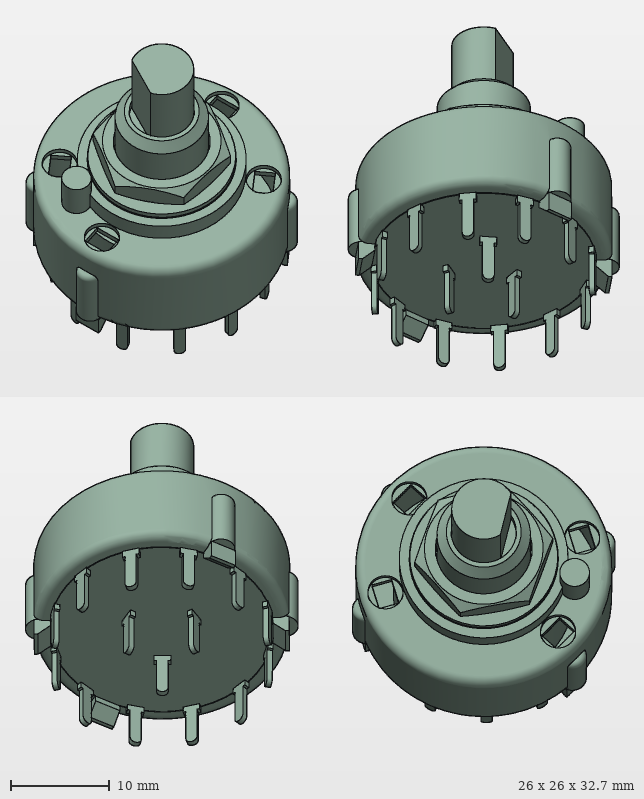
import cadquery as cq
import math

pin_step_z = 4.65
clip_bottom_z = 3.5
clip_step_z = 4.7
clip_top_z = 5.7
seal_bottom_z = 5.4
body_bottom_z = 5.5
rib_top_z = 12.7
body_top_z = 15.7
flange_top_z = 17.7
nut_bottom_z = 18.35
locator_top_z = 19.65
nut_top_z = 20.75
bushing_top_z = 25.7
shaft_top_z = 32.7

body_diameter = 26.0
body_fillet = 0.98
seal_diameter = 22.75
flange_diameter = 17.15

wall_thickness = 0.98
cover_thickness = 1.1
core_diameter = 18.32
core_gap = 0.98
hub_diameter = 10.3

washer_diameter = 15.0
washer_lip_diameter = 15.15
washer_lip_height = 0.1

nut_corner_diameter = 14.25
nut_face_diameter = 12.05
nut_chamfer_angle = 30.0
nut_turn = -6.0
nut_bore_diameter = 9.8

bushing_diameter = 9.5
bushing_chamfer = 0.95
shaft_diameter = 6.5
shaft_flat_offset = 2.3
shaft_bore_diameter = 6.6
shaft_bore_depth = 0.98

locator_diameter = 3.0
locator_y = -9.5

clip_angles = [60, 120, 240, 300]

well_diameter = 3.55
well_radius = 10.4
well_depth = 0.52
window_length = 2.1
window_width = 2.65

rib_diameter = 2.8
rib_radius = 12.43
rib_fillet = 0.52

clip_width = rib_diameter
clip_outer_radius = 12.95
clip_top_length = 1.67
clip_bottom_length = 0.4

pin_width = 1.18
pin_thickness = 0.55
pin_base_width = 1.73
pin_root = 0.33
outer_pin_count = 12
outer_pin_radius = 11.15
outer_pin_start = 15.0
inner_pin_count = 3
inner_pin_radius = 3.83
inner_pin_start = 90.0


def disc(diameter, bottom, top):
    """Upright cylinder on the Z axis."""
    return cq.Workplane("XY").workplane(offset=bottom).circle(diameter / 2).extrude(top - bottom)


def at_polar(shape, radius, angle):
    """Move a shape out along X, then turn it about the Z axis."""
    return shape.translate((radius, 0, 0)).rotate((0, 0, 0), (0, 0, 1), angle)


def make_housing():
    body = disc(body_diameter, body_bottom_z, body_top_z).edges().fillet(body_fillet)
    body = body.union(disc(seal_diameter, seal_bottom_z, body_bottom_z))
    flange = disc(flange_diameter, body_top_z, flange_top_z)
    lip_top_z = flange_top_z + washer_lip_height
    washer_lip = disc(washer_lip_diameter, flange_top_z, lip_top_z)
    washer = disc(washer_diameter, lip_top_z, nut_bottom_z)
    locator = disc(locator_diameter, body_top_z, locator_top_z).translate((0, locator_y, 0))
    return body.union(flange).union(washer_lip).union(washer).union(locator)


def make_nut():
    height = nut_top_z - nut_bottom_z
    corner_radius = nut_corner_diameter / 2
    face_radius = nut_face_diameter / 2
    corner_drop = (corner_radius - face_radius) * math.tan(math.radians(nut_chamfer_angle))
    hexagon = (
        cq.Workplane("XY")
        .workplane(offset=nut_bottom_z)
        .polygon(6, nut_corner_diameter)
        .circle(nut_bore_diameter / 2)
        .extrude(height)
        .rotate((0, 0, 0), (0, 0, 1), nut_turn)
    )
    corner_trim = (
        cq.Workplane("XZ")
        .moveTo(0, nut_bottom_z)
        .lineTo(face_radius, nut_bottom_z)
        .lineTo(corner_radius, nut_bottom_z + corner_drop)
        .lineTo(corner_radius, nut_top_z - corner_drop)
        .lineTo(face_radius, nut_top_z)
        .lineTo(0, nut_top_z)
        .close()
        .revolve(360, (0, 0, 0), (0, 1, 0))
    )
    return hexagon.intersect(corner_trim)


def make_bushing_and_shaft():
    bushing = disc(bushing_diameter, nut_bottom_z, bushing_top_z)
    bushing = bushing.faces(">Z").edges().chamfer(bushing_chamfer)
    bore_bottom_z = bushing_top_z - shaft_bore_depth
    bushing = bushing.cut(disc(shaft_bore_diameter, bore_bottom_z, bushing_top_z))
    shaft = disc(shaft_diameter, bore_bottom_z, shaft_top_z)
    flat_cutter = cq.Workplane("XY").box(
        shaft_diameter, shaft_diameter, shaft_top_z - bore_bottom_z, centered=(True, False, False)
    ).translate((0, -shaft_flat_offset - shaft_diameter, bore_bottom_z))
    return bushing.union(shaft.cut(flat_cutter))


def make_hollow():
    """Ring-shaped space around the core, joined to a gap above it around the hub."""
    floor_z = body_bottom_z + wall_thickness
    ceiling_z = body_top_z - cover_thickness
    space = disc(body_diameter - 2 * wall_thickness, floor_z, ceiling_z)
    core = disc(core_diameter, floor_z, ceiling_z - core_gap)
    hub = disc(hub_diameter, floor_z, ceiling_z)
    return space.cut(core).cut(hub)


def make_well():
    floor_z = body_top_z - well_depth
    ceiling_z = body_top_z - cover_thickness
    window = (
        cq.Workplane("XY")
        .workplane(offset=ceiling_z)
        .rect(window_length, window_width)
        .extrude(floor_z - ceiling_z)
    )
    return disc(well_diameter, floor_z, body_top_z).union(window)


def make_rib():
    return disc(rib_diameter, clip_top_z, rib_top_z).faces(">Z").edges().fillet(rib_fillet)


def make_clip():
    """Block with its outer face at the origin, tapering inward toward the bottom."""
    return (
        cq.Workplane("XZ")
        .moveTo(0, clip_bottom_z)
        .lineTo(0, clip_top_z)
        .lineTo(-clip_top_length, clip_top_z)
        .lineTo(-clip_top_length, clip_step_z)
        .lineTo(-clip_bottom_length, clip_bottom_z)
        .close()
        .extrude(clip_width / 2, both=True)
    )


def make_pin():
    """Flat terminal with a wide shoulder and a fully rounded tip."""
    half_width = pin_width / 2
    half_base = pin_base_width / 2
    root_z = seal_bottom_z + pin_root
    return (
        cq.Workplane("YZ")
        .moveTo(-half_width, half_width)
        .threePointArc((0, 0), (half_width, half_width))
        .lineTo(half_width, pin_step_z)
        .lineTo(half_base, pin_step_z)
        .lineTo(half_base, root_z)
        .lineTo(-half_base, root_z)
        .lineTo(-half_base, pin_step_z)
        .lineTo(-half_width, pin_step_z)
        .close()
        .extrude(pin_thickness / 2, both=True)
    )


def add_pin_ring(part, count, radius, start_angle):
    for index in range(count):
        part = part.union(at_polar(make_pin(), radius, start_angle + index * 360 / count))
    return part


result = make_housing().union(make_nut()).union(make_bushing_and_shaft())

for clip_angle in clip_angles:
    result = result.union(at_polar(make_rib(), rib_radius, clip_angle))
result = result.cut(make_hollow())

for clip_angle in clip_angles:
    result = result.union(at_polar(make_clip(), clip_outer_radius, clip_angle))
    result = result.cut(at_polar(make_well(), well_radius, clip_angle))

result = add_pin_ring(result, outer_pin_count, outer_pin_radius, outer_pin_start)
result = add_pin_ring(result, inner_pin_count, inner_pin_radius, inner_pin_start)